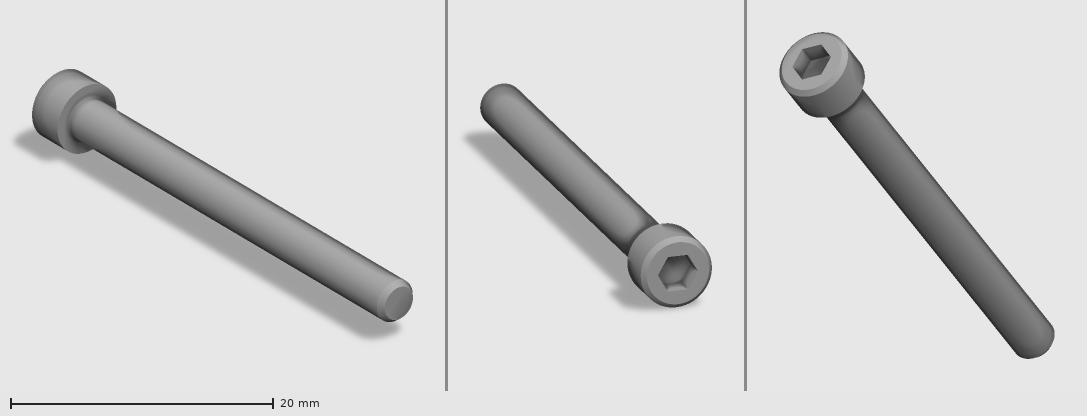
import cadquery as cq
import math

total_length = 41.6
head_diameter = 5.75
head_length = 3.5
head_chamfer = 0.37
shank_diameter = 3.5
tip_chamfer_length = 0.5
tip_chamfer_height = 0.37
fillet_length = 0.25
fillet_height = 0.25
socket_flats = 2.8
socket_depth = 1.65
drill_cone_angle = 120.0

head_radius = head_diameter / 2
shank_radius = shank_diameter / 2
head_face_x = -total_length / 2
tip_x = total_length / 2
underside_x = head_face_x + head_length


def screw_body():
    """Head and shank, revolved about X."""
    fillet_radius = shank_radius + fillet_height
    return (
        cq.Workplane("XY")
        .moveTo(head_face_x, 0)
        .lineTo(head_face_x, head_radius - head_chamfer)
        .lineTo(head_face_x + head_chamfer, head_radius)
        .lineTo(underside_x, head_radius)
        .lineTo(underside_x, fillet_radius)
        .radiusArc((underside_x + fillet_length, shank_radius), -fillet_length)
        .lineTo(tip_x - tip_chamfer_length, shank_radius)
        .lineTo(tip_x, shank_radius - tip_chamfer_height)
        .lineTo(tip_x, 0)
        .close()
        .revolve(360, (0, 0, 0), (1, 0, 0))
    )


def hex_socket():
    """Hexagon with two corners on the Y axis, ending in a drill cone."""
    corner_radius = socket_flats / math.sqrt(3)
    bottom_x = head_face_x + socket_depth
    cone_radius = socket_flats / 2
    cone_depth = cone_radius / math.tan(math.radians(drill_cone_angle / 2))
    hexagon = (
        cq.Workplane("YZ", origin=(head_face_x, 0, 0))
        .polygon(6, 2 * corner_radius)
        .extrude(socket_depth)
    )
    cone = cq.Workplane(
        cq.Solid.makeCone(cone_radius, 0, cone_depth, cq.Vector(bottom_x, 0, 0), cq.Vector(1, 0, 0))
    )
    return hexagon.union(cone)


result = screw_body().cut(hex_socket())